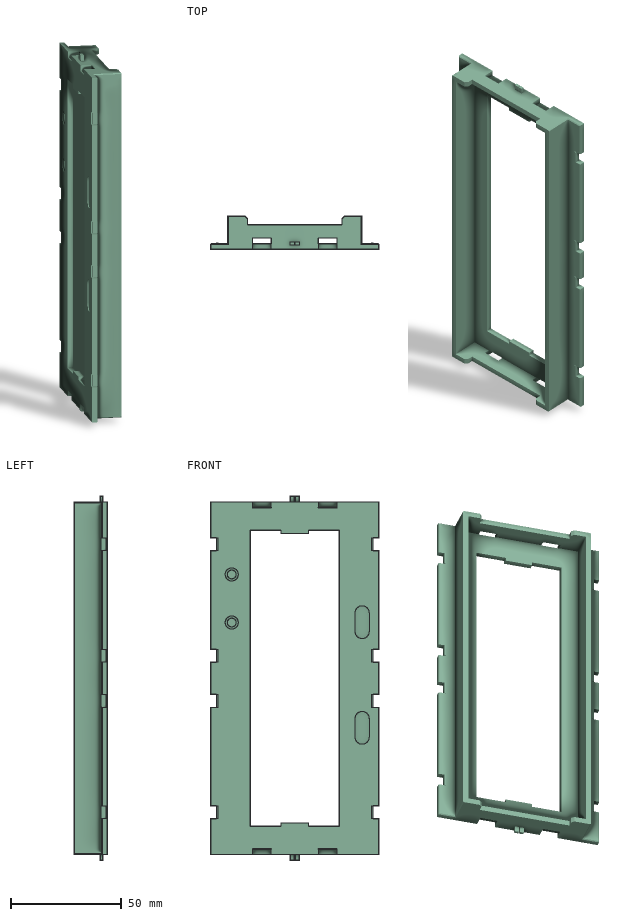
import cadquery as cq

TOTAL_WIDTH = 76.2
TOTAL_DEPTH = 15.0
TOTAL_HEIGHT = 165.0
FRAME_HEIGHT = 159.7

PLATE_THICKNESS = 2.6
OUTER_CHAMFER = 0.41
WINDOW_WIDTH = 40.3
WINDOW_HEIGHT = 134.0
TAB_WIDTH = 12.5
TAB_DEPTH = 1.5

RIM_WIDTH = 60.7
WALL_THICKNESS = 2.5
SADDLE_WIDTH = 42.5
SADDLE_Y = 11.2
LUG_CHAMFER = 1.2

SLOT_WIDTH = 8.4
SLOT_SPACING = 29.7
SLOT_DEPTH = 5.1
SLOT_CUT = 2.6

NOTCH_HEIGHT = 5.8
NOTCH_CUT = 3.3
NOTCH_CENTRES = (10.2, 60.7)
LIP_THICKNESS = 0.7
LIP_SETBACK = 0.7
LIP_DEPTH = 2.3

PEG_WIDTH = 2.0
PEG_GAP = 0.3
PEG_THICKNESS = 1.3
PEG_SETBACK = 2.0

MARK_DEPTH = 0.3
BADGE_X = 30.5
BADGE_CENTRES = (25.4, -22.5)
BADGE_WIDTH = 6.5
BADGE_LENGTH = 14.8
STAMP_X = -28.5
STAMP_CENTRES = (47.0, 25.2)
STAMP_DIAMETER = 6.0
STAMP_HUB_DIAMETER = 4.0

FRONT_Y = -TOTAL_DEPTH / 2
SIDES = (-1, 1)


def block(width, depth, height, x=0.0, setback=0.0, z=0.0):
    """Box centred on x and z whose near face lies `setback` behind the front face."""
    centre_y = FRONT_Y + setback + depth / 2
    return cq.Workplane("XY").box(width, depth, height).translate((x, centre_y, z))


def front_plate():
    """Flat frame with chamfered rear outer edges and a tab at each end of its window."""
    plate = block(TOTAL_WIDTH, PLATE_THICKNESS, FRAME_HEIGHT)
    plate = plate.faces(">Y").edges().chamfer(OUTER_CHAMFER)
    plate = plate.cut(block(WINDOW_WIDTH, PLATE_THICKNESS, WINDOW_HEIGHT))
    for side in SIDES:
        tab_z = side * (WINDOW_HEIGHT - TAB_DEPTH) / 2
        plate = plate.union(block(TAB_WIDTH, PLATE_THICKNESS, TAB_DEPTH, z=tab_z))
    return plate


def rim():
    """Rectangular wall, lowered between the corner lugs of both ends.

    It reaches into the plate far enough to close the plate's end chamfers along the wall.
    """
    rim_start = PLATE_THICKNESS - OUTER_CHAMFER
    rim_depth = TOTAL_DEPTH - rim_start
    wall = block(RIM_WIDTH, rim_depth, FRAME_HEIGHT, setback=rim_start)
    wall = wall.edges("|Y").chamfer(OUTER_CHAMFER)
    inner_width = RIM_WIDTH - 2 * WALL_THICKNESS
    inner_height = FRAME_HEIGHT - 2 * WALL_THICKNESS
    wall = wall.cut(block(inner_width, rim_depth, inner_height, setback=rim_start))
    half_saddle = SADDLE_WIDTH / 2
    saddle_floor = FRONT_Y + SADDLE_Y
    back = FRONT_Y + TOTAL_DEPTH
    saddle = (
        cq.Workplane("XY")
        .moveTo(-half_saddle, saddle_floor)
        .lineTo(half_saddle, saddle_floor)
        .lineTo(half_saddle, back - LUG_CHAMFER)
        .lineTo(half_saddle + LUG_CHAMFER, back)
        .lineTo(-half_saddle - LUG_CHAMFER, back)
        .lineTo(-half_saddle, back - LUG_CHAMFER)
        .close()
        .extrude(FRAME_HEIGHT / 2, both=True)
    )
    return wall.cut(saddle)


def end_slots(body):
    for end in SIDES:
        slot_z = end * (FRAME_HEIGHT - SLOT_CUT) / 2
        for side in SIDES:
            body = body.cut(block(SLOT_WIDTH, SLOT_DEPTH, SLOT_CUT, x=side * SLOT_SPACING / 2, z=slot_z))
    return body


def edge_notches(body):
    notch_offset = (TOTAL_WIDTH - NOTCH_CUT) / 2
    lip_offset = TOTAL_WIDTH / 2 - NOTCH_CUT + LIP_THICKNESS / 2
    for side in SIDES:
        for end in SIDES:
            for centre in NOTCH_CENTRES:
                z = end * centre
                body = body.cut(block(NOTCH_CUT, PLATE_THICKNESS, NOTCH_HEIGHT, x=side * notch_offset, z=z))
                lip = block(LIP_THICKNESS, LIP_DEPTH, NOTCH_HEIGHT, side * lip_offset, LIP_SETBACK, z)
                body = body.union(lip)
    return body


def end_pegs(body):
    peg_length = (TOTAL_HEIGHT - FRAME_HEIGHT) / 2
    for end in SIDES:
        peg_z = end * (FRAME_HEIGHT + peg_length) / 2
        for side in SIDES:
            peg_x = side * (PEG_WIDTH + PEG_GAP) / 2
            body = body.union(block(PEG_WIDTH, PEG_THICKNESS, peg_length, peg_x, PEG_SETBACK, peg_z))
    return body


def face_plane(x, z):
    """Sketch plane on the front face, looking out of it, centred at x and z."""
    return cq.Workplane("XZ", origin=(x, FRONT_Y, z))


def front_marks(body):
    for z in BADGE_CENTRES:
        body = body.cut(face_plane(BADGE_X, z).slot2D(BADGE_LENGTH, BADGE_WIDTH, 90).extrude(-MARK_DEPTH))
    for z in STAMP_CENTRES:
        ring = face_plane(STAMP_X, z).circle(STAMP_DIAMETER / 2).circle(STAMP_HUB_DIAMETER / 2)
        body = body.cut(ring.extrude(-MARK_DEPTH))
    return body


result = front_plate().union(rim())
result = end_slots(result)
result = edge_notches(result)
result = end_pegs(result)
result = front_marks(result)